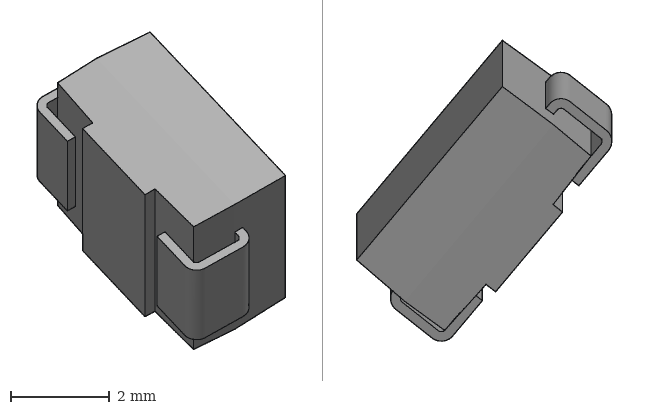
import math

import cadquery as cq

BODY_LENGTH = 4.76
BODY_HEIGHT = 3.95
BACK_DEPTH = 1.30
FRONT_DEPTH = 1.30
DRAFT_ANGLE = 2.0

PAD_WIDTH = 2.15
PAD_STEP = 0.25

OVERALL_LENGTH = 5.59
LEAD_HEIGHT = 2.20
LEAD_THICKNESS = 0.20
LEAD_OUTER_RADIUS = 0.30
LEAD_INNER_RADIUS = LEAD_OUTER_RADIUS - LEAD_THICKNESS
LEAD_PROTRUSION = 0.04
FOOT_LENGTH = 1.25
LEAD_EMBED = 0.20


def make_body_half(direction, depth):
    """Drafted block growing from the parting plane along direction * Y."""
    plane = cq.Plane(origin=(0, 0, 0), xDir=(1, 0, 0), normal=(0, direction, 0))
    return cq.Workplane(plane).rect(BODY_LENGTH, BODY_HEIGHT).extrude(depth, taper=DRAFT_ANGLE)


def make_step_cutter():
    """Material removed from the -X end of the front, beside the pad."""
    inner_x = -PAD_WIDTH / 2
    outer_x = -OVERALL_LENGTH / 2
    inner_y = -FRONT_DEPTH + PAD_STEP
    outer_y = inner_y + (inner_x - outer_x) * math.tan(math.radians(DRAFT_ANGLE))
    corners = [
        (inner_x, -FRONT_DEPTH),
        (inner_x, inner_y),
        (outer_x, outer_y),
        (outer_x, -FRONT_DEPTH),
    ]
    return cq.Workplane("XY").polyline(corners).close().extrude(BODY_HEIGHT / 2, both=True)


def make_lead():
    """C-shaped strip on the -X end, from the body side to the front foot."""
    outer_x = -OVERALL_LENGTH / 2
    inner_x = outer_x + LEAD_THICKNESS
    root_x = -BODY_LENGTH / 2 + LEAD_EMBED
    foot_x = outer_x + FOOT_LENGTH
    bend_x = outer_x + LEAD_OUTER_RADIUS
    back_y = LEAD_THICKNESS
    front_y = -FRONT_DEPTH - LEAD_PROTRUSION
    back_bend_y = back_y - LEAD_OUTER_RADIUS
    front_bend_y = front_y + LEAD_OUTER_RADIUS
    profile = (
        cq.Workplane("XY")
        .moveTo(root_x, back_y)
        .lineTo(bend_x, back_y)
        .radiusArc((outer_x, back_bend_y), -LEAD_OUTER_RADIUS)
        .lineTo(outer_x, front_bend_y)
        .radiusArc((bend_x, front_y), -LEAD_OUTER_RADIUS)
        .lineTo(foot_x, front_y)
        .lineTo(foot_x, front_y + LEAD_THICKNESS)
        .lineTo(bend_x, front_y + LEAD_THICKNESS)
        .radiusArc((inner_x, front_bend_y), LEAD_INNER_RADIUS)
        .lineTo(inner_x, back_bend_y)
        .radiusArc((bend_x, back_y - LEAD_THICKNESS), LEAD_INNER_RADIUS)
        .lineTo(root_x, back_y - LEAD_THICKNESS)
        .close()
    )
    return profile.extrude(LEAD_HEIGHT / 2, both=True)


def on_both_ends(shape):
    """The shape together with its mirror image at the +X end."""
    return [shape, shape.mirror("YZ")]


result = make_body_half(1, BACK_DEPTH).union(make_body_half(-1, FRONT_DEPTH))
for cutter in on_both_ends(make_step_cutter()):
    result = result.cut(cutter)
for lead in on_both_ends(make_lead()):
    result = result.union(lead)